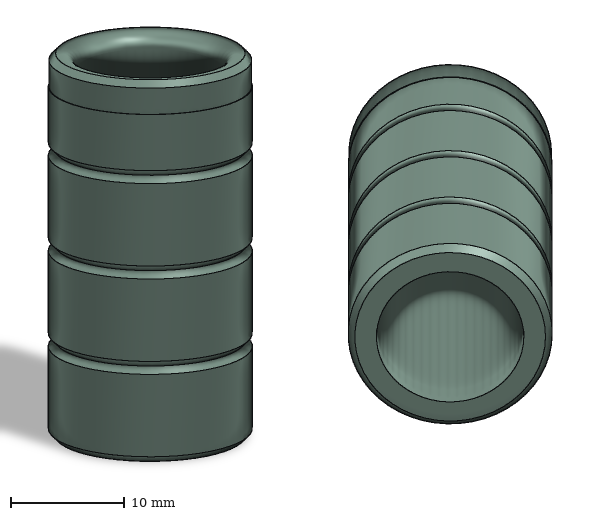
import cadquery as cq

length = 35.0
outer_diameter = 18.0
bore_diameter = 13.0
outer_radius = outer_diameter / 2
bore_radius = bore_diameter / 2

lead_diameter = 17.9
lead_length = 3.0
lead_radius = lead_diameter / 2

segment_count = 4
segment_length = length / segment_count
chamfer_size = 0.6
mouth_radius = 1.5


def make_sleeve():
    """Revolve the sleeve wall, with chamfered outer ends and a rounded top mouth."""
    return (
        cq.Workplane("XZ")
        .moveTo(bore_radius, 0)
        .lineTo(outer_radius - chamfer_size, 0)
        .lineTo(outer_radius, chamfer_size)
        .lineTo(outer_radius, length - lead_length)
        .lineTo(lead_radius, length - lead_length)
        .lineTo(lead_radius, length - chamfer_size)
        .lineTo(lead_radius - chamfer_size, length)
        .lineTo(bore_radius + mouth_radius, length)
        .radiusArc((bore_radius, length - mouth_radius), -mouth_radius)
        .close()
        .revolve(360, (0, 0, 0), (0, 1, 0))
    )


def make_groove(height):
    """Revolve a V-shaped ring cutter centred at the given height."""
    return (
        cq.Workplane("XZ")
        .moveTo(outer_radius - chamfer_size, height)
        .lineTo(outer_radius, height + chamfer_size)
        .lineTo(outer_radius, height - chamfer_size)
        .close()
        .revolve(360, (0, 0, 0), (0, 1, 0))
    )


result = make_sleeve()
for index in range(1, segment_count):
    result = result.cut(make_groove(index * segment_length))